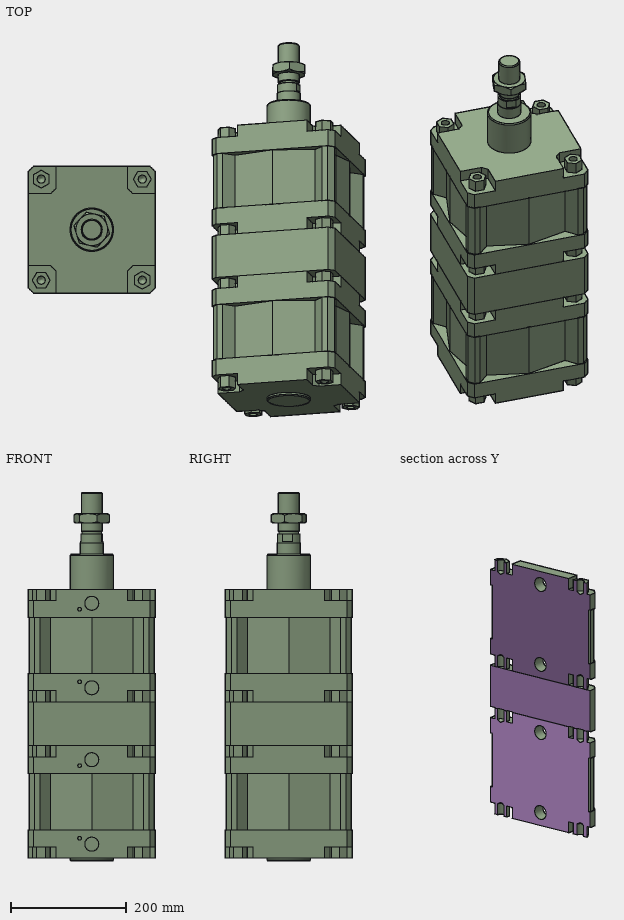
import cadquery as cq
import math

width = 220.0
total_height = 637.0
collar_height = 5.0
cover_height = 48.5
barrel_height = 97.5
block_height = 76.0
boss_height = 60.5
cylinder_height = 2 * cover_height + barrel_height
lower_base = collar_height
block_base = lower_base + cylinder_height
upper_base = block_base + block_height
upper_top = upper_base + cylinder_height
boss_top = upper_top + boss_height

corner_chamfer = 9.5
notch_size = 48.0
notch_chamfer = 9.0
notch_depth = 20.0
boss_diameter = 75.0
boss_chamfer = 2.0
tie_nut_offset = 87.0
tie_nut_flats = 27.0
tie_hole_diameter = 14.0
tie_hole_depth = notch_depth
drill_tip_angle = 118

port_diameter = 24.0
port_depth = 32.0
port_to_end = cover_height / 2
screw_hole_diameter = 6.5
screw_hole_depth = 13.0
screw_hole_x = -21.0
screw_hole_shift = 10.0

barrel_half = 108.0
barrel_chamfer = 9.5
groove_outer = 89.0
groove_inner = 71.5
groove_depth = groove_outer - groove_inner

rod_diameter = 40.0
rod_end_base = 550.0
rod_end_diameter = 39.5
shoulder_top = 565.0
flats_base = 551.5
flats_width = 35.5
neck_diameter = 34.0
thread_base = 569.0
thread_diameter = 36.0
thread_tip_chamfer = 2.0
thread_root_chamfer = (thread_diameter - neck_diameter) / 2
flats_turn = -7
nut_turn = -13
nut_base = 583.5
nut_height = 16.5
nut_flats = 55.0
nut_chamfer_angle = 30


def hexagon_diameter(across_flats):
    return across_flats / math.cos(math.pi / 6)


def chamfered_square(height):
    return cq.Workplane("XY").rect(width, width).extrude(height).edges("|Z").chamfer(corner_chamfer)


def drill(diameter, depth):
    """A drill pointing down from the origin, with a conical tip below its full depth."""
    radius = diameter / 2
    tip = radius / math.tan(math.radians(drill_tip_angle / 2))
    outline = [(0, 0), (radius, 0), (radius, -depth), (0, -depth - tip)]
    return cq.Workplane("XZ").polyline(outline).close().revolve()


def notch():
    """Material cleared from the corner at +X +Y, above the notch floor."""
    side = 2 * notch_size
    return (
        cq.Workplane("XY", origin=(width / 2, width / 2, cover_height - notch_depth))
        .rect(side, side)
        .extrude(notch_depth)
        .edges("|Z and <X and <Y")
        .chamfer(notch_chamfer)
    )


def tie_nut():
    """Hexagonal nut standing on the notch floor at +X +Y, level with the cover's end face."""
    return (
        cq.Workplane("XY", origin=(tie_nut_offset, tie_nut_offset, cover_height - notch_depth))
        .polygon(6, hexagon_diameter(tie_nut_flats))
        .extrude(notch_depth)
    )


def cover():
    """End cover standing on its barrel side, with its notched end face upward."""
    body = chamfered_square(cover_height)
    tie_hole = drill(tie_hole_diameter, tie_hole_depth)
    tie_hole = tie_hole.translate((tie_nut_offset, tie_nut_offset, cover_height))
    for corner in range(4):
        turn = ((0, 0, 0), (0, 0, 1), 90 * corner)
        body = body.cut(notch().rotate(*turn))
        body = body.union(tie_nut().rotate(*turn))
        body = body.cut(tie_hole.rotate(*turn))
    return body


def front_hole(diameter, depth, x, z):
    """A blind hole running inward from the -Y face."""
    return cq.Workplane("XZ", origin=(x, -width / 2, z)).circle(diameter / 2).extrude(-depth)


def barrel():
    """Barrel with chamfered corners and, on each side, two grooves beside a full-height ridge."""
    edge = barrel_half - barrel_chamfer
    side = [
        (-edge, -barrel_half),
        (-groove_outer, -barrel_half),
        (-groove_inner, -barrel_half + groove_depth),
        (0, -barrel_half),
        (groove_inner, -barrel_half + groove_depth),
        (groove_outer, -barrel_half),
        (edge, -barrel_half),
    ]
    outline = []
    for _ in range(4):
        outline += side
        side = [(-y, x) for x, y in side]
    return cq.Workplane("XY").polyline(outline).close().extrude(barrel_height)


def cylinder():
    """One cylinder: a barrel between two covers, standing on the XY plane."""
    bottom_cover = cover().mirror("XY").translate((0, 0, cover_height))
    top_cover = cover().translate((0, 0, cover_height + barrel_height))
    body = barrel().translate((0, 0, cover_height)).union(bottom_cover).union(top_cover)
    for end, inward in ((0, 1), (cylinder_height, -1)):
        port_z = end + inward * port_to_end
        screw_z = port_z + inward * screw_hole_shift
        body = body.cut(front_hole(port_diameter, port_depth, 0, port_z))
        body = body.cut(front_hole(screw_hole_diameter, screw_hole_depth, screw_hole_x, screw_z))
    return body


def round_bar(diameter, base, top):
    return cq.Workplane("XY", origin=(0, 0, base)).circle(diameter / 2).extrude(top - base)


def lower_cylinder():
    collar = round_bar(boss_diameter, 0, lower_base).faces("<Z").chamfer(boss_chamfer)
    return cylinder().translate((0, 0, lower_base)).union(collar)


def upper_cylinder():
    """Upper cylinder with its guide boss, bored down through the top cover for the rod."""
    boss = round_bar(boss_diameter, upper_top, boss_top).faces(">Z").chamfer(boss_chamfer)
    bore = round_bar(rod_diameter, upper_top - cover_height, boss_top)
    return cylinder().translate((0, 0, upper_base)).union(boss).cut(bore)


def middle_block():
    return chamfered_square(block_height).translate((0, 0, block_base))


def piston_rod():
    return round_bar(rod_diameter, upper_top - cover_height, rod_end_base)


def rod_end():
    """Shoulder with two wrench flats, then a neck and the threaded length."""
    plain = round_bar(rod_end_diameter, rod_end_base, flats_base)
    flats = (
        cq.Workplane("XY", origin=(0, 0, flats_base))
        .rect(flats_width, 2 * rod_end_diameter)
        .extrude(shoulder_top - flats_base)
        .rotate((0, 0, 0), (0, 0, 1), flats_turn)
    )
    flatted = round_bar(rod_end_diameter, flats_base, shoulder_top).intersect(flats)
    neck = round_bar(neck_diameter, shoulder_top, thread_base)
    thread = round_bar(thread_diameter, thread_base, total_height)
    thread = thread.faces(">Z").chamfer(thread_tip_chamfer)
    thread = thread.faces("<Z").chamfer(thread_root_chamfer)
    return plain.union(flatted).union(neck).union(thread)


def lock_nut():
    """Hexagonal nut on the thread, its corners trimmed by a cone at both ends."""
    corner = hexagon_diameter(nut_flats) / 2
    flat = nut_flats / 2
    drop = (corner - flat) * math.tan(math.radians(nut_chamfer_angle))
    outline = [
        (0, 0),
        (flat, 0),
        (corner, drop),
        (corner, nut_height - drop),
        (flat, nut_height),
        (0, nut_height),
    ]
    trim = cq.Workplane("XZ").polyline(outline).close().revolve()
    hexagon = cq.Workplane("XY").polygon(6, 2 * corner).extrude(nut_height)
    nut = hexagon.intersect(trim).cut(round_bar(thread_diameter, 0, nut_height))
    return nut.rotate((0, 0, 0), (0, 0, 1), nut_turn).translate((0, 0, nut_base))


result = cq.Compound.makeCompound(
    [
        lower_cylinder().val(),
        middle_block().val(),
        upper_cylinder().val(),
        piston_rod().val(),
        rod_end().val(),
        lock_nut().val(),
    ]
)